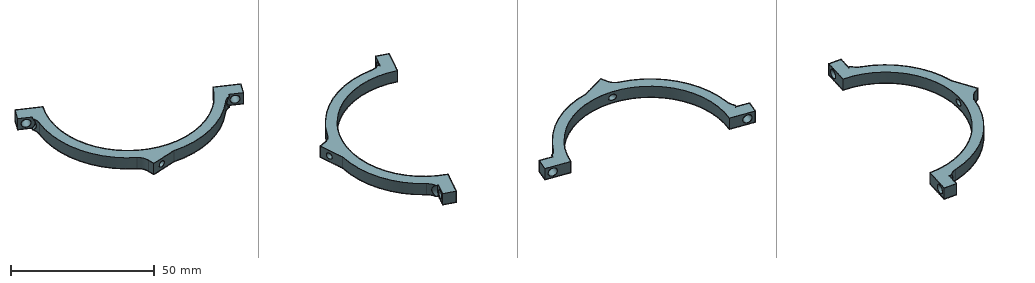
import cadquery as cq
import math

thickness = 5.0
inner_radius = 30.1
outer_radius = 34.2

root = (inner_radius + outer_radius) / 2
root_scale = root / outer_radius

split_angle = 55
split_gap = 0.3
tab_thickness = 5.0
tab_reach = 40.0
tab_fillet = 5.0
tab_outer_face = split_gap + tab_thickness

screw_distance = 37.0
screw_diameter = 3.5
head_diameter = 6.5

boss_x = 32.6
boss_y = -20.25
boss_fillet = 5.0
cross_hole_y = -16.2
cross_hole_diameter = 2.5


def fillet_web(face_offset, fillet_radius):
    """Outline points of the web between a straight face and the ring.

    The face lies at face_offset from the ring centre, along the second axis.
    Returns the tangent point on the face, the arc midpoint and the tangent
    point on the ring.
    """
    center_offset = face_offset + fillet_radius
    center_distance = outer_radius + fillet_radius
    center_along = math.sqrt(center_distance**2 - center_offset**2)
    face_point = (center_along, face_offset)
    ring_scale = outer_radius / center_distance
    ring_point = (center_along * ring_scale, center_offset * ring_scale)
    to_ring = math.atan2(-center_offset, -center_along)
    middle_angle = (to_ring - math.pi / 2) / 2
    middle = (
        center_along + fillet_radius * math.cos(middle_angle),
        center_offset + fillet_radius * math.sin(middle_angle),
    )
    return face_point, middle, ring_point


def extrude_plate(outline):
    return outline.close().extrude(thickness / 2, both=True)


def half_ring():
    """Half ring on the +Y side of the split line, which runs along X."""
    inner_end = math.sqrt(inner_radius**2 - split_gap**2)
    outer_end = math.sqrt(outer_radius**2 - split_gap**2)
    return extrude_plate(
        cq.Workplane("XY")
        .moveTo(inner_end, split_gap)
        .lineTo(outer_end, split_gap)
        .threePointArc((0, outer_radius), (-outer_end, split_gap))
        .lineTo(-inner_end, split_gap)
        .threePointArc((0, inner_radius), (inner_end, split_gap))
    )


def tab():
    """Clamping tab at the +X end, blended into the ring."""
    face_point, middle, ring_point = fillet_web(tab_outer_face, tab_fillet)
    return extrude_plate(
        cq.Workplane("XY")
        .moveTo(root, split_gap)
        .lineTo(tab_reach, split_gap)
        .lineTo(tab_reach, tab_outer_face)
        .lineTo(*face_point)
        .threePointArc(middle, ring_point)
        .lineTo(ring_point[0] * root_scale, ring_point[1] * root_scale)
        .threePointArc(
            (math.sqrt(root**2 - tab_outer_face**2), tab_outer_face), (root, split_gap)
        )
    )


def screw_cut():
    """Clearance hole through the tab and the screw head seat behind it."""
    def cylinder(diameter, start, length):
        axis_start = cq.Vector(screw_distance, start, 0)
        return cq.Solid.makeCylinder(diameter / 2, length, axis_start, cq.Vector(0, 1, 0))

    hole = cylinder(screw_diameter, 0, tab_outer_face)
    head_seat = cylinder(head_diameter, tab_outer_face, 2 * tab_fillet)
    return cq.Workplane(hole).union(cq.Workplane(head_seat))


def boss():
    """Corner boss filling the wedge outside the ring, with a blended lower side."""
    face_point, middle, ring_point = (
        (x, -y) for x, y in fillet_web(-boss_y, boss_fillet)
    )
    upper_y = -math.sqrt(outer_radius**2 - boss_x**2)
    upper_root = (boss_x * root_scale, upper_y * root_scale)
    middle_angle = (math.atan2(upper_y, boss_x) + math.atan2(ring_point[1], ring_point[0])) / 2
    return extrude_plate(
        cq.Workplane("XY")
        .moveTo(*upper_root)
        .lineTo(boss_x, upper_y)
        .lineTo(boss_x, boss_y)
        .lineTo(*face_point)
        .threePointArc(middle, ring_point)
        .lineTo(ring_point[0] * root_scale, ring_point[1] * root_scale)
        .threePointArc(
            (root * math.cos(middle_angle), root * math.sin(middle_angle)), upper_root
        )
    )


def cross_hole():
    return (
        cq.Workplane("YZ")
        .center(cross_hole_y, 0)
        .circle(cross_hole_diameter / 2)
        .extrude(outer_radius)
    )


clamp = half_ring().union(tab()).union(tab().mirror("YZ"))
clamp = clamp.cut(screw_cut()).cut(screw_cut().mirror("YZ"))

clamp = clamp.rotate((0, 0, 0), (0, 0, 1), split_angle - 180)

result = clamp.union(boss()).cut(cross_hole())